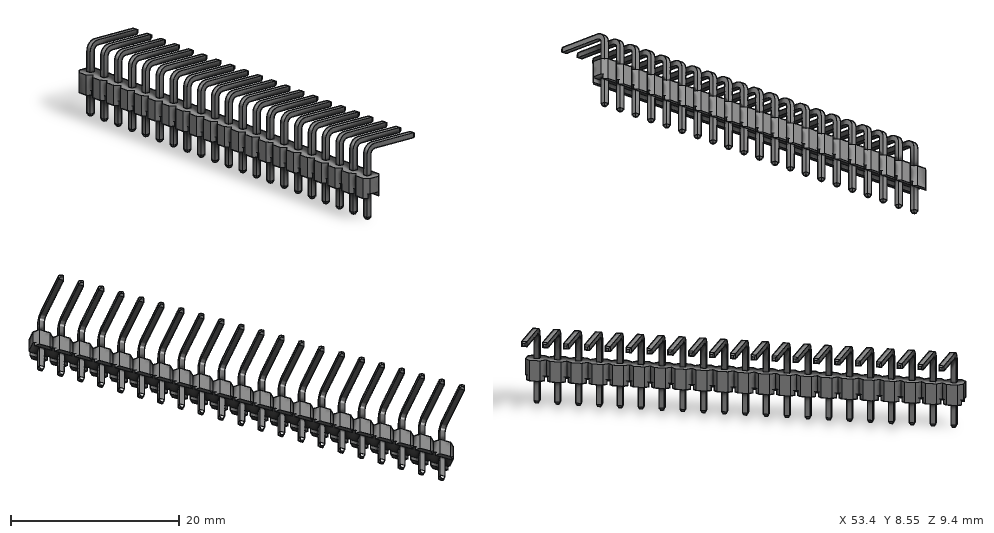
import cadquery as cq


row_length = 53.35
pin_count = 21
pitch = row_length / pin_count
housing_depth = pitch
housing_height = pitch
flat_width = 1.35
corner_cut = (pitch - flat_width) / 2
channel_width = 1.65
channel_height = 0.6

pin_size = 0.65
pin_below_housing = 3.0
overall_height = 9.4
overall_depth = 8.55
bend_inner_radius = 0.65
bend_outer_radius = bend_inner_radius + pin_size
tip_length = 0.3
tip_inset = 0.15

pin_bottom = -pin_below_housing
pin_top = pin_bottom + overall_height
pin_end = overall_depth - housing_depth / 2
arm_level = pin_top - pin_size / 2


def make_cell():
    """Block around one pin, with its four upright corners cut off."""
    return (
        cq.Workplane("XY")
        .box(pitch, housing_depth, housing_height, centered=(True, True, False))
        .edges("|Z")
        .chamfer(corner_cut)
    )


def make_channel():
    """Material removed along the whole underside of the row."""
    return cq.Workplane("XY").box(
        row_length, channel_width, channel_height, centered=(True, True, False)
    )


def make_tip(base):
    """Tapered pin end, starting at the base plane and pointing against its normal."""
    tip_size = pin_size - 2 * tip_inset
    return (
        base.rect(pin_size, pin_size)
        .workplane(offset=-tip_length)
        .rect(tip_size, tip_size)
        .loft(ruled=True)
    )


def make_pin():
    """Square pin with one rounded right-angle bend and tapered ends."""
    half = pin_size / 2
    lower_end = make_tip(cq.Workplane("XY", origin=(0, 0, pin_bottom + tip_length)))
    arm_end = make_tip(cq.Workplane("XZ", origin=(0, pin_end - tip_length, arm_level)))
    shank = (
        cq.Workplane("YZ", origin=(-half, 0, 0))
        .moveTo(-half, pin_bottom + tip_length)
        .lineTo(-half, pin_top - bend_outer_radius)
        .radiusArc((bend_outer_radius - half, pin_top), bend_outer_radius)
        .lineTo(pin_end - tip_length, pin_top)
        .lineTo(pin_end - tip_length, pin_top - pin_size)
        .lineTo(half + bend_inner_radius, pin_top - pin_size)
        .radiusArc((half, pin_top - bend_outer_radius), -bend_inner_radius)
        .lineTo(half, pin_bottom + tip_length)
        .close()
        .extrude(pin_size)
    )
    return shank.union(lower_end).union(arm_end)


def repeat_along_row(shape):
    """Copies of a shape at every pin position, joined where they touch."""
    return (
        cq.Workplane("XY")
        .rarray(pitch, pitch, pin_count, 1)
        .eachpoint(shape.val(), combine=False)
        .combine()
    )


housing = repeat_along_row(make_cell()).cut(make_channel())
result = housing.union(repeat_along_row(make_pin()))